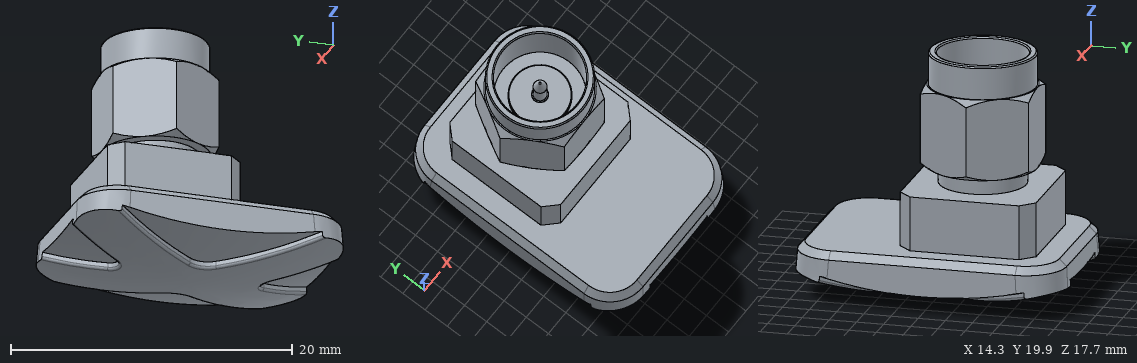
import cadquery as cq
import math

PLATE_TOP = 4.0
PLATE_CHAMFER = 0.54
SHOULDER_LENGTH_X = 14.04
SHOULDER_LENGTH_Y = 19.72
CORNER_RADIUS = 3.0
WALL_DRAFT = 3.8
DOME_RADIUS = 31.9

RECESS_DEPTH = 0.52
END_RECESS_APEX = 5.38
END_RECESS_HALF_ANGLE = 31.0
END_RECESS_TIP_RADIUS = 1.0
SIDE_RECESS_APEX = 2.6
SIDE_RECESS_HALF_ANGLE = 57.5
SIDE_RECESS_TIP_RADIUS = 1.8
RECESS_REACH = 11.96
RECESS_EDGE_FILLET = 0.2

CONNECTOR_Y = 2.6
BLOCK_SIZE = 10.0
BLOCK_CHAMFER = 1.0
BLOCK_HEIGHT = 4.0
NECK_RADIUS = 3.2
NECK_HEIGHT = 1.28
NUT_ACROSS_FLATS = 8.0
NUT_HEIGHT = 6.0
NUT_BEVEL_ANGLE = 35.0
COLLAR_RADIUS = 3.89
COLLAR_HEIGHT = 2.41
COLLAR_CHAMFER = 0.1
BORE_RADIUS = 3.31
BORE_DEPTH = 4.15
BORE_CHAMFER = 0.1
DIELECTRIC_RADIUS = 2.27
DIELECTRIC_HEIGHT = 0.3
DIELECTRIC_CHAMFER = 0.05
PIN_RADIUS = 0.5
PIN_TIP_RADIUS = 0.08
PIN_CONE_HEIGHT = 0.75
PIN_TIP_DEPTH = 1.35
PIN_SHOULDER_RADIUS = 0.6
PIN_SHOULDER_HEIGHT = 0.1

SHOULDER_Z = PLATE_TOP - PLATE_CHAMFER
BLOCK_TOP = PLATE_TOP + BLOCK_HEIGHT
NUT_BOTTOM = BLOCK_TOP + NECK_HEIGHT
NUT_TOP = NUT_BOTTOM + NUT_HEIGHT
COLLAR_TOP = NUT_TOP + COLLAR_HEIGHT
BORE_FLOOR = COLLAR_TOP - BORE_DEPTH


def rounded_frustum(bottom, height, bottom_size, top_size, bottom_radius, top_radius):
    """Solid between two centred rounded rectangles, each size given as (X, Y)."""
    lower = cq.Sketch().rect(*bottom_size).vertices().fillet(bottom_radius)
    upper = cq.Sketch().rect(*top_size).vertices().fillet(top_radius).moved(cq.Location((0, 0, height)))
    return cq.Workplane("XY", origin=(0, 0, bottom)).placeSketch(lower, upper).loft(ruled=True)


def dome(lowest_z):
    """Sphere whose lowest point is on the plate axis at the given height."""
    return cq.Workplane("XY", origin=(0, 0, lowest_z + DOME_RADIUS)).sphere(DOME_RADIUS)


def recess_prism(apex, half_angle, tip_radius, direction):
    """Round-tipped wedge, opening outwards along the given direction (degrees from +X)."""
    angle = math.radians(half_angle)
    centre = apex + tip_radius
    tangent_x = centre - tip_radius * math.sin(angle)
    tangent_y = tip_radius * math.cos(angle)
    mouth_y = tangent_y + (RECESS_REACH - tangent_x) * math.tan(angle)
    return (
        cq.Workplane("XY")
        .moveTo(RECESS_REACH, -mouth_y)
        .lineTo(tangent_x, -tangent_y)
        .threePointArc((apex, 0), (tangent_x, tangent_y))
        .lineTo(RECESS_REACH, mouth_y)
        .close()
        .extrude(PLATE_TOP)
        .rotate((0, 0, 0), (0, 0, 1), direction)
    )


def recess_rim_edges(plate):
    """Edges where the recess walls meet the dome, clear of the dome's pole and of the outer walls."""
    dome_centre = cq.Vector(0, 0, DOME_RADIUS)
    tolerance = 0.002
    rim_edges = []
    for edge in plate.edges().vals():
        middle = edge.positionAt(0.5)
        on_dome = abs((middle - dome_centre).Length - DOME_RADIUS) < tolerance
        axis_distance = math.hypot(middle.x, middle.y)
        if on_dome and SIDE_RECESS_APEX < axis_distance < SHOULDER_LENGTH_Y / 2:
            rim_edges.append(edge)
    return rim_edges


def make_plate():
    shoulder = (SHOULDER_LENGTH_X, SHOULDER_LENGTH_Y)
    spread = 2 * SHOULDER_Z * math.tan(math.radians(WALL_DRAFT))
    foot = tuple(length + spread for length in shoulder)
    top = tuple(length - 2 * PLATE_CHAMFER for length in shoulder)
    walls = rounded_frustum(0, SHOULDER_Z, foot, shoulder, CORNER_RADIUS, CORNER_RADIUS)
    rim = rounded_frustum(
        SHOULDER_Z, PLATE_CHAMFER, shoulder, top, CORNER_RADIUS, CORNER_RADIUS - PLATE_CHAMFER,
    )
    plate = walls.union(rim).intersect(dome(0))
    recess_ceiling = dome(RECESS_DEPTH)
    for direction in (90, -90):
        wedge = recess_prism(END_RECESS_APEX, END_RECESS_HALF_ANGLE, END_RECESS_TIP_RADIUS, direction)
        plate = plate.cut(wedge.cut(recess_ceiling))
    for direction in (0, 180):
        wedge = recess_prism(SIDE_RECESS_APEX, SIDE_RECESS_HALF_ANGLE, SIDE_RECESS_TIP_RADIUS, direction)
        plate = plate.cut(wedge.cut(recess_ceiling))
    return plate.newObject(recess_rim_edges(plate)).fillet(RECESS_EDGE_FILLET)


def make_nut():
    """Hexagon bevelled at both ends down to its inscribed circle."""
    across_corners = NUT_ACROSS_FLATS / math.cos(math.radians(30))
    flat_radius = NUT_ACROSS_FLATS / 2
    corner_radius = across_corners / 2
    bevel = (corner_radius - flat_radius) * math.tan(math.radians(NUT_BEVEL_ANGLE))
    hexagon = cq.Workplane("XY", origin=(0, 0, NUT_BOTTOM)).polygon(6, across_corners).extrude(NUT_HEIGHT)
    envelope = (
        cq.Workplane("XZ")
        .polyline([
            (0, NUT_BOTTOM),
            (flat_radius, NUT_BOTTOM),
            (corner_radius, NUT_BOTTOM + bevel),
            (corner_radius, NUT_TOP - bevel),
            (flat_radius, NUT_TOP),
            (0, NUT_TOP),
        ])
        .close()
        .revolve(360, (0, 0), (0, 1))
    )
    return hexagon.intersect(envelope)


def cylinder(bottom, top, radius):
    return cq.Workplane("XY", origin=(0, 0, bottom)).circle(radius).extrude(top - bottom)


def make_pin():
    tip_z = COLLAR_TOP - PIN_TIP_DEPTH
    cone_z = tip_z - PIN_CONE_HEIGHT
    shoulder_z = BORE_FLOOR + DIELECTRIC_HEIGHT + PIN_SHOULDER_HEIGHT
    return (
        cq.Workplane("XZ")
        .polyline([
            (0, BORE_FLOOR),
            (PIN_SHOULDER_RADIUS, BORE_FLOOR),
            (PIN_SHOULDER_RADIUS, shoulder_z),
            (PIN_RADIUS, shoulder_z),
            (PIN_RADIUS, cone_z),
            (PIN_TIP_RADIUS, tip_z),
            (0, tip_z),
        ])
        .close()
        .revolve(360, (0, 0), (0, 1))
    )


def make_connector():
    block = (
        cq.Workplane("XY", origin=(0, 0, PLATE_TOP))
        .rect(BLOCK_SIZE, BLOCK_SIZE)
        .extrude(BLOCK_HEIGHT)
        .edges("|Z")
        .chamfer(BLOCK_CHAMFER)
    )
    neck = cylinder(BLOCK_TOP, NUT_BOTTOM, NECK_RADIUS)
    collar = cylinder(NUT_TOP, COLLAR_TOP, COLLAR_RADIUS).faces(">Z").chamfer(COLLAR_CHAMFER)
    bore = cylinder(BORE_FLOOR, COLLAR_TOP, BORE_RADIUS)
    shell = block.union(neck).union(make_nut()).union(collar).cut(bore)
    shell = shell.faces(">Z").edges("%CIRCLE").edges(cq.selectors.RadiusNthSelector(0)).chamfer(BORE_CHAMFER)
    dielectric = (
        cylinder(BORE_FLOOR, BORE_FLOOR + DIELECTRIC_HEIGHT, DIELECTRIC_RADIUS)
        .faces(">Z")
        .chamfer(DIELECTRIC_CHAMFER)
    )
    return shell.union(dielectric).union(make_pin()).translate((0, CONNECTOR_Y, 0))


plate = make_plate()
connector = make_connector()
result = cq.Compound.makeCompound([plate.val(), connector.val()])